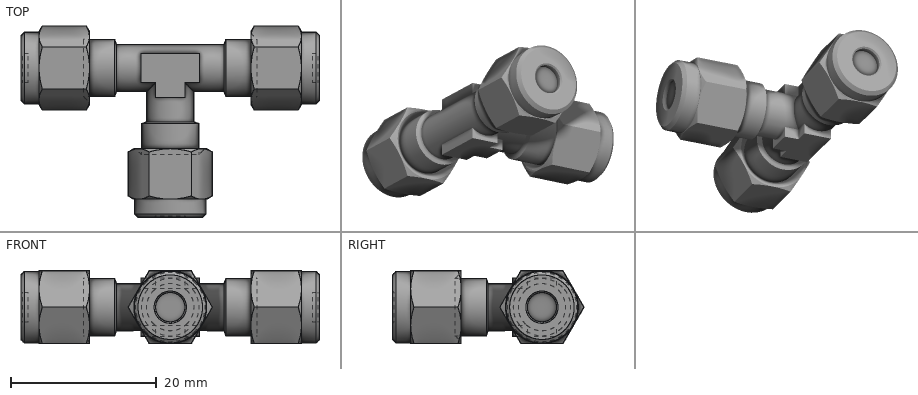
import cadquery as cq
import math

arm_length = 20.5
tube_radius = 3.25

collar_radius = 3.95
collar_start = 7.4
collar_cone_length = 0.25

nut_sides = 6
nut_across_flats = 10.0
nut_length = 6.93
nut_chamfer_angle = 30.0
nut_recess_radius = 4.75

cap_radius = 4.9
cap_length = 2.5
cap_chamfer = 0.5

bore_radius = 2.0
bore_chamfer = 0.2
run_bore_depth = 1.0
branch_bore_depth = 0.5

block_half_width = 4.0
block_stem_half_width = block_half_width / 2

nut_flat_radius = nut_across_flats / 2
nut_corner_radius = nut_flat_radius / math.cos(math.pi / nut_sides)
nut_end = arm_length - cap_length
nut_start = nut_end - nut_length
nut_chamfer_length = (nut_corner_radius - nut_flat_radius) * math.tan(math.radians(nut_chamfer_angle))
nut_recess_depth = nut_recess_radius - collar_radius


def turn(profile):
    """Solid of revolution about X from (position, radius) points; the ends close on the axis."""
    first, last = profile[0][0], profile[-1][0]
    points = [(first, 0), *profile, (last, 0)]
    return cq.Workplane("XY").polyline(points).close().revolve(360, (0, 0, 0), (1, 0, 0))


def make_nut():
    """Hexagonal nut, flats facing +Z and -Z, with turned-off corners and a conical inner recess."""
    prism = (
        cq.Workplane("YZ", origin=(nut_start, 0, 0))
        .polygon(nut_sides, 2 * nut_corner_radius)
        .extrude(nut_length)
    )
    corner_cones = turn([
        (nut_start, nut_flat_radius),
        (nut_start + nut_chamfer_length, nut_corner_radius),
        (nut_end - nut_chamfer_length, nut_corner_radius),
        (nut_end, nut_flat_radius),
    ])
    recess = turn([
        (nut_start, nut_recess_radius),
        (nut_start + nut_recess_depth, collar_radius),
    ])
    return prism.intersect(corner_cones).cut(recess)


def make_core():
    """Tube, collar with a conical shoulder, and chamfered cap, as one turned body."""
    return turn([
        (0, tube_radius),
        (collar_start, tube_radius),
        (collar_start + collar_cone_length, collar_radius),
        (nut_end, collar_radius),
        (nut_end, cap_radius),
        (arm_length - cap_chamfer, cap_radius),
        (arm_length, cap_radius - cap_chamfer),
    ])


def make_bore(depth):
    """Blind bore in the end face, chamfered at its mouth."""
    return turn([
        (arm_length - depth, bore_radius),
        (arm_length - bore_chamfer, bore_radius),
        (arm_length, bore_radius + bore_chamfer),
    ])


def make_arm(bore_depth):
    """Complete tube end along +X."""
    return make_core().union(make_nut()).cut(make_bore(bore_depth))


def make_block():
    """T-shaped block with its crossbar along X and its stem toward -Y."""
    bar = cq.Workplane("XY").box(2 * block_half_width, 2 * block_stem_half_width, 2 * block_half_width)
    stem = (
        cq.Workplane("XY")
        .box(2 * block_stem_half_width, block_half_width, 2 * block_half_width)
        .translate((0, -block_half_width / 2, 0))
    )
    return bar.union(stem)


result = make_block()
for angle, bore_depth in ((0, run_bore_depth), (180, run_bore_depth), (270, branch_bore_depth)):
    result = result.union(make_arm(bore_depth).rotate((0, 0, 0), (0, 0, 1), angle))